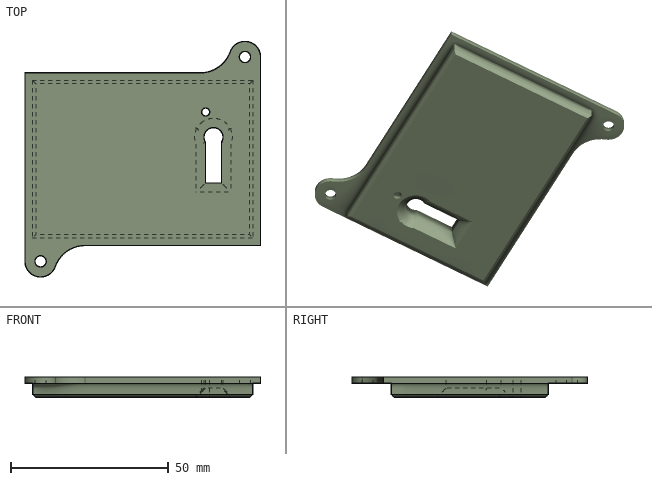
import cadquery as cq
import math

plate_length = 75.0
plate_width = 55.0
plate_thickness = 2.0

block_inset = 2.5
block_height = 4.5
block_chamfer = 1.0

lug_radius = 5.0
lug_hole_diameter = 3.5
lug_blend_radius = 10.0

pin_hole_diameter = 2.5
pin_hole_x = 20.0
pin_hole_y = 15.0

keyhole_x = 22.5
keyhole_round_y = 7.0
keyhole_round_diameter = 6.0
keyhole_slot_width = 5.0
keyhole_slot_end_y = -7.5

keyhole_flare = 3.0
flare_angle = 45.0

total_height = plate_thickness + block_height
half_length = plate_length / 2
half_width = plate_width / 2

lug_x = half_length - lug_radius
lug_y = half_width + lug_radius

blend_center_distance = lug_radius + lug_blend_radius
blend_center_y = half_width + lug_blend_radius
blend_center_x = lug_x - math.sqrt(blend_center_distance**2 - (blend_center_y - lug_y) ** 2)


def point_on_circle(center_x, center_y, radius, angle):
    return (center_x + radius * math.cos(angle), center_y + radius * math.sin(angle))


def make_plate():
    """Flat plate with a lug at the +X +Y corner and another, turned half round, at -X -Y."""
    contact_angle = math.atan2(lug_y - blend_center_y, lug_x - blend_center_x)
    contact = point_on_circle(blend_center_x, blend_center_y, lug_blend_radius, contact_angle)
    blend_middle_angle = (contact_angle - math.pi / 2) / 2
    blend_middle = point_on_circle(blend_center_x, blend_center_y, lug_blend_radius, blend_middle_angle)
    lug_top = (lug_x, lug_y + lug_radius)

    def turned(point):
        return (-point[0], -point[1])

    lug_side = (half_length, lug_y)
    blend_start = (blend_center_x, half_width)
    return (
        cq.Workplane("XY")
        .moveTo(half_length, -half_width)
        .lineTo(*lug_side)
        .threePointArc(lug_top, contact)
        .threePointArc(blend_middle, blend_start)
        .lineTo(-half_length, half_width)
        .lineTo(*turned(lug_side))
        .threePointArc(turned(lug_top), turned(contact))
        .threePointArc(turned(blend_middle), turned(blend_start))
        .close()
        .extrude(plate_thickness)
    )


def make_block():
    """Rectangular block below the plate with a chamfered bottom rim."""
    return (
        cq.Workplane("XY")
        .rect(plate_length - 2 * block_inset, plate_width - 2 * block_inset)
        .extrude(-block_height)
        .faces("<Z")
        .chamfer(block_chamfer)
    )


def make_round_cutter(x, y, diameter):
    """Cylinder passing through the full height of the part."""
    return (
        cq.Workplane("XY", origin=(x, y, -block_height))
        .circle(diameter / 2)
        .extrude(total_height)
    )


def make_keyhole_cutter():
    """Keyhole-shaped cutter through the full height, flared at 45 degrees towards the underside."""
    slot_length = keyhole_round_y - keyhole_slot_end_y
    slot_center_y = (keyhole_round_y + keyhole_slot_end_y) / 2
    slot = (
        cq.Workplane("XY", origin=(keyhole_x, slot_center_y, -block_height))
        .rect(keyhole_slot_width, slot_length)
        .extrude(total_height)
    )
    slot_flare = (
        cq.Workplane("XY", origin=(keyhole_x, slot_center_y, -block_height))
        .rect(keyhole_slot_width + 2 * keyhole_flare, slot_length + 2 * keyhole_flare)
        .extrude(keyhole_flare, taper=flare_angle)
    )
    round_end = make_round_cutter(keyhole_x, keyhole_round_y, keyhole_round_diameter)
    round_flare = (
        cq.Workplane("XY", origin=(keyhole_x, keyhole_round_y, -block_height))
        .circle(keyhole_round_diameter / 2 + keyhole_flare)
        .extrude(keyhole_flare, taper=flare_angle)
    )
    return slot.union(round_end).union(slot_flare).union(round_flare)


result = make_plate().union(make_block())

for side in (1, -1):
    result = result.cut(make_round_cutter(side * lug_x, side * lug_y, lug_hole_diameter))

result = result.cut(make_round_cutter(pin_hole_x, pin_hole_y, pin_hole_diameter))
result = result.cut(make_keyhole_cutter())